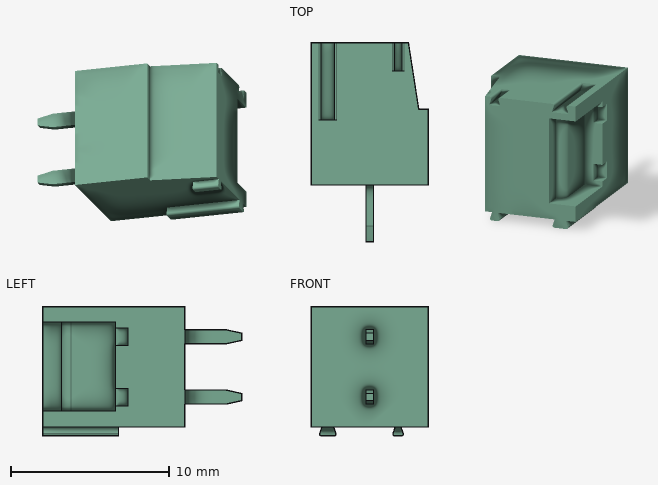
import cadquery as cq

PITCH = 3.81
BODY_WIDTH = 7.4
BODY_LENGTH = 9.0
BODY_HEIGHT = 2 * PITCH
LEFT = -BODY_WIDTH / 2
RIGHT = BODY_WIDTH / 2

RELIEF_LENGTH = 4.2
RELIEF_ROOT_DEPTH = 0.6
RELIEF_END_DEPTH = 1.25

RECESS_LENGTH = 4.6
RECESS_FLOOR = 1.02
RECESS_TOP = 6.64
RECESS_DEPTH = 1.2
RECESS_STEP = 0.6
DEEP_LENGTH = 1.2

POCKET_LENGTH = 0.8
POCKET_HEIGHT = 1.1
POCKET_DEPTH = 0.6
POCKET_BOTTOM = 1.35

PIN_HEIGHTS = (PITCH / 2, 3 * PITCH / 2)
PIN_WIDTH = 0.5
PIN_THICKNESS = 0.9
PIN_TIP_THICKNESS = 0.46
PIN_LENGTH = 3.6
PIN_TIP_LENGTH = 1.0

DOVETAIL_HEIGHT = 0.55
DOVETAIL_FLARE = 0.18
DOVETAIL_ROUND = 0.12
KEYWAY_EXTRA_LENGTH = 0.1
DOVETAILS = ((1.05, 0.77, 4.8), (5.49, 0.39, 1.7))


def box(x_min, x_max, y_min, y_max, z_min, z_max):
    size = (x_max - x_min, y_max - y_min, z_max - z_min)
    return cq.Workplane().box(*size, centered=False).translate((x_min, y_min, z_min))


def make_body():
    relief_start = BODY_LENGTH - RELIEF_LENGTH
    return (
        cq.Workplane()
        .moveTo(LEFT, 0)
        .lineTo(RIGHT, 0)
        .lineTo(RIGHT, relief_start)
        .lineTo(RIGHT - RELIEF_ROOT_DEPTH, relief_start)
        .lineTo(RIGHT - RELIEF_END_DEPTH, BODY_LENGTH)
        .lineTo(LEFT, BODY_LENGTH)
        .close()
        .extrude(BODY_HEIGHT)
    )


def make_recess():
    """Recess whose floor drops by a quarter-round step towards the +Y end."""
    shallow = LEFT + RECESS_DEPTH
    deep = shallow + RECESS_STEP
    step_y = BODY_LENGTH - DEEP_LENGTH
    return (
        cq.Workplane()
        .workplane(offset=RECESS_FLOOR)
        .moveTo(LEFT, BODY_LENGTH - RECESS_LENGTH)
        .lineTo(shallow, BODY_LENGTH - RECESS_LENGTH)
        .lineTo(shallow, step_y - RECESS_STEP)
        .radiusArc((deep, step_y), RECESS_STEP)
        .lineTo(deep, BODY_LENGTH)
        .lineTo(LEFT, BODY_LENGTH)
        .close()
        .extrude(RECESS_TOP - RECESS_FLOOR)
    )


def make_pocket(bottom):
    inner_end = BODY_LENGTH - RECESS_LENGTH
    return box(
        LEFT, LEFT + POCKET_DEPTH,
        inner_end - POCKET_LENGTH, inner_end,
        bottom, bottom + POCKET_HEIGHT,
    )


def make_pin(height):
    half = PIN_THICKNESS / 2
    half_tip = PIN_TIP_THICKNESS / 2
    taper_start = PIN_TIP_LENGTH - PIN_LENGTH
    return (
        cq.Workplane("YZ")
        .polyline([
            (0, height - half),
            (0, height + half),
            (taper_start, height + half),
            (-PIN_LENGTH, height + half_tip),
            (-PIN_LENGTH, height - half_tip),
            (taper_start, height - half),
        ])
        .close()
        .extrude(PIN_WIDTH / 2, both=True)
    )


def dovetail(center, root_width, length, top):
    """Bar flaring downwards from its root at Z = top, ending at the +Y face."""
    half_root = root_width / 2
    half_foot = half_root + DOVETAIL_FLARE
    bottom = top - DOVETAIL_HEIGHT
    return (
        cq.Workplane("XZ", origin=(LEFT + center, BODY_LENGTH, 0))
        .polyline([
            (-half_root, top),
            (half_root, top),
            (half_foot, bottom),
            (-half_foot, bottom),
        ])
        .close()
        .extrude(length)
    )


def make_key(center, root_width, length):
    return dovetail(center, root_width, length, 0).edges("|Y and <Z").fillet(DOVETAIL_ROUND)


def cut_keyway(body, center, root_width, length):
    """Undercut keyway in the top face, with rounded lips along both sides."""
    keyway_length = length + KEYWAY_EXTRA_LENGTH
    body = body.cut(dovetail(center, root_width, keyway_length, BODY_HEIGHT))
    lip_y = BODY_LENGTH - keyway_length / 2
    for side in (-1, 1):
        lip = (LEFT + center + side * root_width / 2, lip_y, BODY_HEIGHT)
        body = body.edges(cq.selectors.NearestToPointSelector(lip)).fillet(DOVETAIL_ROUND)
    return body


result = make_body()
for dovetail_sizes in DOVETAILS:
    result = cut_keyway(result, *dovetail_sizes)
    result = result.union(make_key(*dovetail_sizes))

result = result.cut(make_recess())
for pocket_bottom in (POCKET_BOTTOM, POCKET_BOTTOM + PITCH):
    result = result.cut(make_pocket(pocket_bottom))
for pin_height in PIN_HEIGHTS:
    result = result.union(make_pin(pin_height))